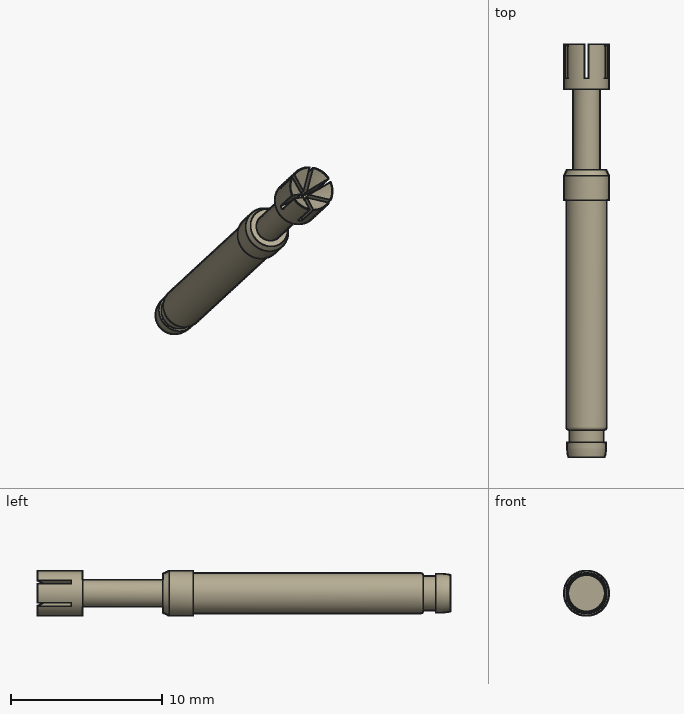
import cadquery as cq
import math


full_turn = 360.0

length = 27.3
plug_curve_length = 0.6
plug_length = 1.0
groove_length = 0.8
body_end = plug_length + groove_length
body_fillet = 0.22
collar_start = 17.0
collar_length = 2.0
collar_end = collar_start + collar_length
collar_taper_length = 0.4
crown_length = 3.0
crown_start = length - crown_length

plug_radius = 1.3
plug_tip_radius = 1.2
groove_radius = 1.15
body_radius = 1.35
collar_radius = 1.5
collar_rim_radius = 1.3
plunger_radius = 0.9
crown_radius = 1.5

slot_count = 6
slot_width = 0.25
slot_length = 2.25
recess_angle = 90.0
rim_width = 0.05
recess_radius = crown_radius - rim_width


def make_turned_body():
    """Revolve the stepped half profile (radius along X) about the Y axis."""
    profile = (
        cq.Workplane("XY")
        .moveTo(0, 0)
        .lineTo(0, length)
        .lineTo(crown_radius, length)
        .lineTo(crown_radius, crown_start)
        .lineTo(plunger_radius, crown_start)
        .lineTo(plunger_radius, collar_end)
        .lineTo(collar_rim_radius, collar_end)
        .lineTo(collar_radius, collar_end - collar_taper_length)
        .lineTo(collar_radius, collar_start)
        .lineTo(body_radius, collar_start)
        .lineTo(body_radius, body_end + body_fillet)
        .tangentArcPoint((body_radius - body_fillet, body_end), relative=False)
        .lineTo(groove_radius, body_end)
        .lineTo(groove_radius, plug_length)
        .lineTo(plug_radius, plug_length)
        .lineTo(plug_radius, plug_curve_length)
        .tangentArcPoint((plug_tip_radius, 0), relative=False)
        .close()
    )
    return profile.revolve(full_turn, (0, 0, 0), (0, 1, 0))


def make_crown_recess():
    """Conical recess that leaves a narrow flat rim at the crown mouth."""
    depth = recess_radius / math.tan(math.radians(recess_angle / 2))
    return (
        cq.Workplane("XY")
        .moveTo(0, length - depth)
        .lineTo(0, length)
        .lineTo(recess_radius, length)
        .close()
        .revolve(full_turn, (0, 0, 0), (0, 1, 0))
    )


def make_crown_slot(angle):
    """Radial slot from the crown axis outwards, turned about Y by angle."""
    return (
        cq.Workplane("XY")
        .box(slot_width, slot_length, 2 * crown_radius, centered=(True, False, False))
        .translate((0, length - slot_length, 0))
        .rotate((0, 0, 0), (0, 1, 0), angle)
    )


result = make_turned_body().cut(make_crown_recess())
for index in range(slot_count):
    result = result.cut(make_crown_slot(index * full_turn / slot_count))